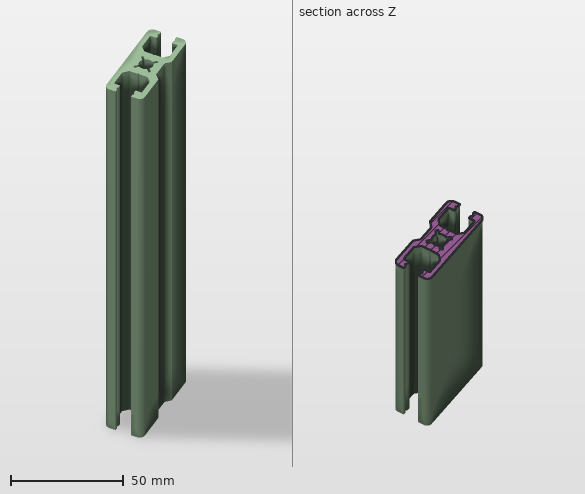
import cadquery as cq

width = 19.0
depth = 45.0
length = 200.0
corner_radius = 2.5
half_width = width / 2
half_depth = depth / 2

wall = 2.5
mouth_half_width = 3.8
lip_thickness = 4.5
slot_floor = 7.5
slot_corner = 2.5
slot_half_width = half_width - wall
lip_inner = half_depth - lip_thickness

lip_groove_depth = 0.8
lip_groove_half_height = 0.8
lip_groove_center = half_depth - lip_thickness / 2
floor_groove_half_width = 0.5
floor_groove_depth = 0.5

bore_diameter = 6.5
relief_width = 1.2
relief_reach = 5.5

channel_depth = 2.5
channel_floor_half_width = 4.2
channel_mouth_half_width = channel_floor_half_width + channel_depth

cut_overrun = 2.0


def prism(points):
    return cq.Workplane("XY").polyline(points).close().extrude(length)


def make_body():
    block = cq.Workplane("XY").rect(width, depth).extrude(length)
    return block.edges("|Z").fillet(corner_radius)


def make_t_slot():
    """T-slot opening towards +Y, with grooved lips and floor."""
    right_side = [
        (floor_groove_half_width, slot_floor),
        (slot_half_width - slot_corner, slot_floor),
        (slot_half_width, slot_floor + slot_corner),
        (slot_half_width, lip_inner),
        (mouth_half_width, lip_inner),
        (mouth_half_width, lip_groove_center - lip_groove_half_height),
        (mouth_half_width + lip_groove_depth, lip_groove_center),
        (mouth_half_width, lip_groove_center + lip_groove_half_height),
        (mouth_half_width, half_depth + cut_overrun),
    ]
    left_side = [(-x, y) for x, y in reversed(right_side)]
    floor_groove_tip = (0, slot_floor - floor_groove_depth)
    return prism([floor_groove_tip] + right_side + left_side)


def make_bore():
    bore = cq.Workplane("XY").circle(bore_diameter / 2).extrude(length)
    for angle in (45, 135):
        relief = cq.Workplane("XY").rect(2 * relief_reach, relief_width).extrude(length)
        bore = bore.union(relief.rotate((0, 0, 0), (0, 0, 1), angle))
    return bore


def make_side_channel():
    channel_floor = half_width - channel_depth
    return prism([
        (channel_floor, -channel_floor_half_width),
        (half_width, -channel_mouth_half_width),
        (half_width, channel_mouth_half_width),
        (channel_floor, channel_floor_half_width),
    ])


t_slot = make_t_slot()
result = make_body().cut(t_slot).cut(t_slot.mirror("XZ"))
result = result.cut(make_bore()).cut(make_side_channel())